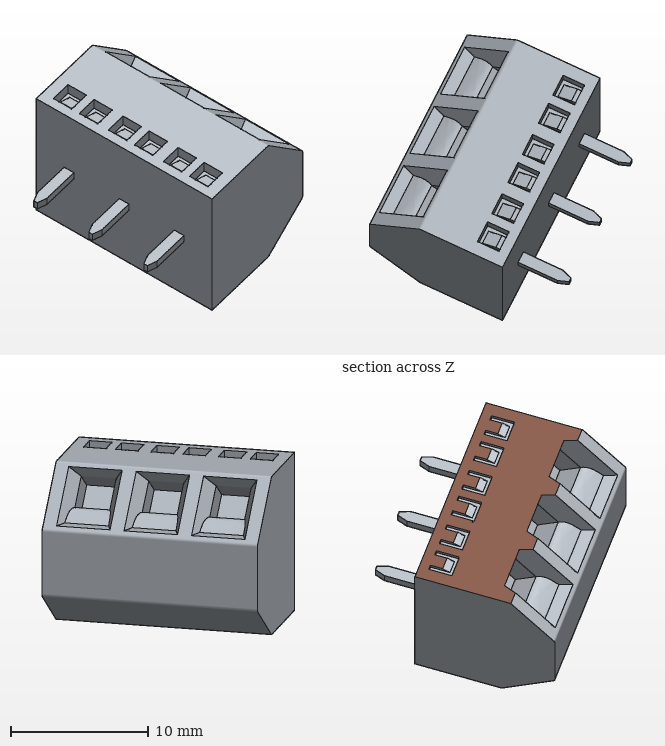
import cadquery as cq
import math

way_count = 3
way_pitch = 5.08
body_length = 16.24
body_depth = 10.8
body_height = 12.0

rear_run = 4.1
upper_rear_z = 7.91
lower_rear_z = 2.9
edge_radius = 0.3

pin_width = 0.9
pin_thickness = 0.67
pin_length = 4.0
pin_tip_length = 0.8
pin_tip_width = 0.32

slot_width = 1.69
slot_span = 1.74
slot_depth = 0.93
slot_spacing = 2.4
slot_front_y = 0.78

wedge_width = 1.02
wedge_span = 1.5
wedge_flat = 0.4
wedge_height = 0.4

entry_width = 4.03
entry_rim_y = 10.49
entry_span = 5.0
funnel_depth = 1.33
lip_depth = 0.68
ramp_middle = 1.75
ramp_middle_depth = 0.9
ramp_end_angle = 60.0

throat_start = 2.37
throat_width = 2.63
throat_bottom_depth = 3.25
throat_lean = 10.0

way_centers = [(i - (way_count - 1) / 2) * way_pitch for i in range(way_count)]


def make_housing():
    """Housing section in the YZ plane, drawn out along X."""
    shoulder_y = body_depth - rear_run
    section = (
        cq.Workplane("YZ")
        .moveTo(0, 0)
        .lineTo(shoulder_y, 0)
        .lineTo(body_depth, lower_rear_z)
        .lineTo(body_depth, upper_rear_z)
        .lineTo(shoulder_y, body_height)
        .lineTo(0, body_height)
        .close()
    )
    housing = section.extrude(body_length / 2, both=True)
    return housing.edges("|X").edges("not <Y").fillet(edge_radius)


def make_pin():
    """Flat pin pointing along -Y with a tapered tip."""
    shank_end = pin_tip_length - pin_length
    outline = [
        (-pin_width / 2, 0),
        (-pin_width / 2, shank_end),
        (-pin_tip_width / 2, -pin_length),
        (pin_tip_width / 2, -pin_length),
        (pin_width / 2, shank_end),
        (pin_width / 2, 0),
    ]
    plane = cq.Workplane("XY", origin=(0, 0, body_height / 2))
    return plane.polyline(outline).close().extrude(pin_thickness / 2, both=True)


def make_test_slot():
    """Slot cavity, with the wedge on its floor left out of the cut."""
    floor_z = body_height - slot_depth
    cavity = cq.Workplane("XY").box(slot_width, slot_span, slot_depth, centered=(True, False, False))
    cavity = cavity.translate((0, slot_front_y, floor_z))
    wedge = (
        cq.Workplane("YZ", origin=(0, slot_front_y, floor_z))
        .polyline([(0, 0), (wedge_span, 0), (wedge_flat, wedge_height), (0, wedge_height)])
        .close()
        .extrude(wedge_width / 2, both=True)
    )
    return cavity.cut(wedge)


def make_wire_entry():
    """Wire entry cavity: a funnel narrowing in X that ends in a straight throat."""
    slope = math.atan2(body_height - upper_rear_z, rear_run)
    rim_z = upper_rear_z + (body_depth - entry_rim_y) * math.tan(slope)
    rim = (0, entry_rim_y, rim_z)
    up_slope = (0, -math.cos(slope), math.sin(slope))

    side_plane = cq.Plane(origin=rim, xDir=up_slope, normal=(1, 0, 0))
    ramp_start_direction = (ramp_middle - lip_depth, ramp_middle_depth - lip_depth)
    end_angle = math.radians(ramp_end_angle)
    ramp_end_direction = (math.cos(end_angle), math.sin(end_angle))
    funnel = (
        cq.Workplane(side_plane)
        .workplane(offset=-entry_width / 2)
        .lineTo(lip_depth, lip_depth)
        .spline(
            [(ramp_middle, ramp_middle_depth), (throat_start, funnel_depth)],
            tangents=[ramp_start_direction, ramp_end_direction],
            includeCurrent=True,
        )
        .lineTo(entry_span, funnel_depth)
        .lineTo(entry_span, 0)
        .close()
        .extrude(entry_width)
    )

    width_plane = cq.Plane(origin=rim, xDir=(-1, 0, 0), normal=up_slope)
    width_limits = [
        (-entry_width / 2, 0),
        (entry_width / 2, 0),
        (throat_width / 2, funnel_depth),
        (-throat_width / 2, funnel_depth),
    ]
    narrowing = cq.Workplane(width_plane).polyline(width_limits).close().extrude(entry_span)

    throat_shift = (throat_bottom_depth - funnel_depth) * math.tan(math.radians(throat_lean))
    throat = (
        cq.Workplane(side_plane)
        .moveTo(throat_start, funnel_depth)
        .lineTo(entry_span, funnel_depth)
        .lineTo(entry_span + throat_shift, throat_bottom_depth)
        .lineTo(throat_start + throat_shift, throat_bottom_depth)
        .close()
        .extrude(throat_width / 2, both=True)
    )
    return funnel.intersect(narrowing).union(throat)


result = make_housing()
pin = make_pin()
test_slot = make_test_slot()
wire_entry = make_wire_entry()
for center_x in way_centers:
    result = result.union(pin.translate((center_x, 0, 0)))
    result = result.cut(wire_entry.translate((center_x, 0, 0)))
    for side in (-1, 1):
        result = result.cut(test_slot.translate((center_x + side * slot_spacing / 2, 0, 0)))